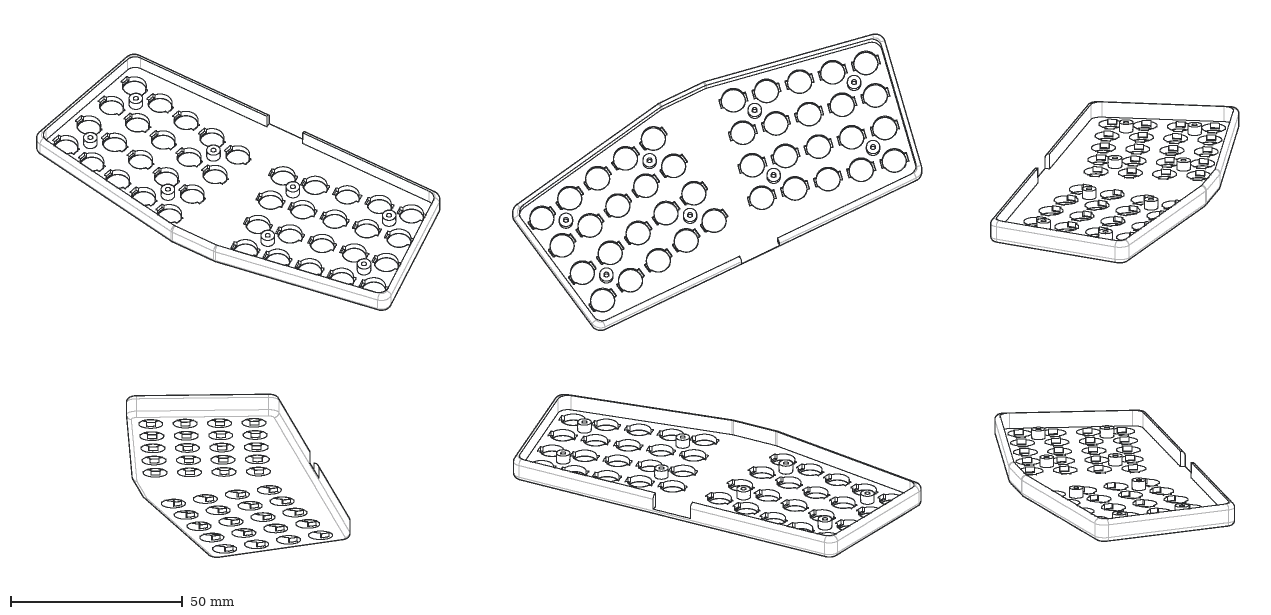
import cadquery as cq
import math

half_width = 60.0
height = 6.7
floor_thickness = 2.0
wall_thickness = 1.5
edge_round = 1.5
corner_radius = 3.0
wall_gap_width = 12.2

tilt = 10.0
tilt_cos = math.cos(math.radians(tilt))
tilt_sin = math.sin(math.radians(tilt))

columns = 5
rows = 4
front_edge_length = 54.0
edge_margin = 7.0
key_pitch = (front_edge_length - 2 * edge_margin) / (columns - 1)
side_edge_length = (rows - 1) * key_pitch + 2 * edge_margin

key_hole_diameter = 7.0
notch_span = 8.0
notch_width = 2.6
notch_depth = 1.5

post_places = [(0.5, 0.5), (3.5, 0.5), (0.5, 2.5), (3.5, 2.5)]
post_diameter = 4.0
post_height = 2.6
post_hole_diameter = 1.5

corner_x = -half_width - corner_radius * (tilt_cos + tilt_sin - 1)
depth = front_edge_length * tilt_sin + side_edge_length * tilt_cos
corner_y = front_edge_length * tilt_sin - depth / 2


def grid_point(along, across):
    """Point of the left half, measured along its front edge and across it from the corner."""
    x = corner_x + along * tilt_cos + across * tilt_sin
    y = corner_y - along * tilt_sin + across * tilt_cos
    return x, y


def key_point(column, row):
    """Centre of a key; half steps lie between neighbouring keys."""
    return grid_point(edge_margin + column * key_pitch, edge_margin + row * key_pitch)


def on_both_halves(points):
    """Left-half points with their tilt, followed by their mirror images."""
    left = [(x, y, -tilt) for x, y in points]
    right = [(-x, y, -angle) for x, y, angle in left]
    return left + right


def outline():
    """Sharp-cornered outer outline of the case."""
    left = [grid_point(0, side_edge_length), grid_point(0, 0), grid_point(front_edge_length, 0)]
    right = [(-x, y) for x, y in reversed(left)]
    return cq.Workplane("XY").polyline(left + right).close()


def tray():
    """Rounded case body with its cavity and the opening in the back wall."""
    block = outline().extrude(height).edges("|Z").fillet(corner_radius)
    block = block.faces("<Z or >Z").edges().fillet(edge_round)
    cavity = outline().offset2D(-wall_thickness).extrude(height)
    cavity = cavity.edges("|Z").fillet(corner_radius)
    gap = cq.Workplane("XY").rect(wall_gap_width, 2 * wall_thickness).extrude(height)
    gap = gap.translate((0, depth / 2, 0))
    return block.cut(cavity.union(gap).translate((0, 0, floor_thickness)))


def key_opening():
    hole = cq.Workplane("XY").circle(key_hole_diameter / 2).extrude(floor_thickness)
    notches = cq.Workplane("XY").workplane(offset=floor_thickness - notch_depth)
    notches = notches.rect(notch_span, notch_width).extrude(notch_depth)
    return hole.union(notches)


def screw_post():
    post = cq.Workplane("XY").circle(post_diameter / 2).circle(post_hole_diameter / 2)
    return post.extrude(post_height).translate((0, 0, floor_thickness))


key_points = [key_point(column, row) for column in range(columns) for row in range(rows)]
post_points = [key_point(column, row) for column, row in post_places]

result = tray()
opening = key_opening()
for x, y, angle in on_both_halves(key_points):
    result = result.cut(opening.rotate((0, 0, 0), (0, 0, 1), angle).translate((x, y, 0)))
post = screw_post()
for x, y, angle in on_both_halves(post_points):
    result = result.union(post.translate((x, y, 0)))